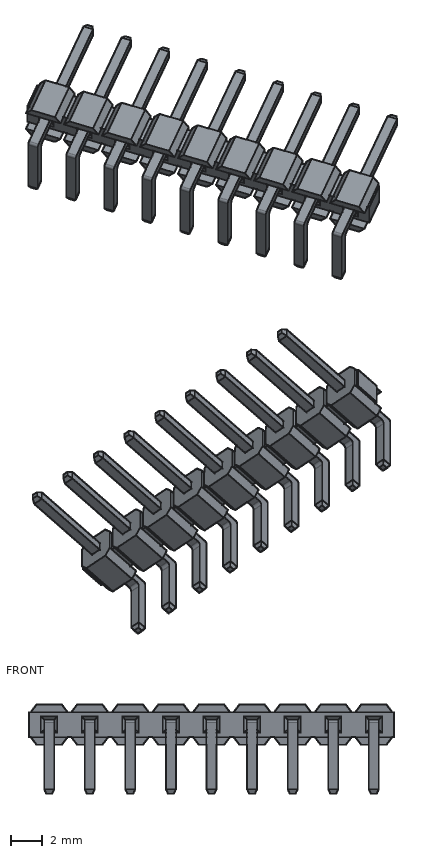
import cadquery as cq
import math

pin_count = 9
row_length = 22.85
pitch = row_length / pin_count

pin_size = 0.65

block_width = 2.3
block_length = 2.54
block_height = 2.54
bar_height = 1.58
bevel_run = 0.37
block_back = block_length / 2
block_front = -block_length / 2
back_step = 0.2
front_overhang = 0.55
bar_back = block_back - back_step
bar_front = block_front + front_overhang

recess_mouth = 1.03
recess_slope = 45.0
recess_depth = (recess_mouth - pin_size) / 2 / math.tan(math.radians(recess_slope))

tail_reach = 1.83
pin_front = block_front - tail_reach
pin_length = 10.17
pin_back = pin_front + pin_length
overall_height = 5.6
pin_bottom = block_height / 2 - overall_height
tip_length = 0.3
tip_inset = 0.14
outer_bend_radius = 0.15
inner_bend_radius = 0.2

first_pin_x = -(pin_count - 1) * pitch / 2
pin_places = [first_pin_x + index * pitch for index in range(pin_count)]


def box_between(x_range, y_range, z_range):
    """Box from its lower and upper limit along each axis."""
    size = [high - low for low, high in (x_range, y_range, z_range)]
    corner = (x_range[0], y_range[0], z_range[0])
    return cq.Workplane("XY").box(*size, centered=False).translate(corner)


def make_block(x):
    """Octagonal block whose middle is cut back in front to the face of the bar."""
    half_width = block_width / 2
    half_height = block_height / 2
    half_bar = bar_height / 2
    half_top = half_width - bevel_run
    outline = [
        (-half_width, -half_bar),
        (-half_top, -half_height),
        (half_top, -half_height),
        (half_width, -half_bar),
        (half_width, half_bar),
        (half_top, half_height),
        (-half_top, half_height),
        (-half_width, half_bar),
    ]
    block = cq.Workplane("XZ", origin=(0, block_back, 0)).polyline(outline).close().extrude(block_length)
    front_gap = box_between((-half_width, half_width), (block_front, bar_front), (-half_bar, half_bar))
    return block.cut(front_gap).translate((x, 0, 0))


def make_recess(x):
    """Square recess that narrows from the front face of the bar down to the pin."""
    mouth = cq.Workplane("XZ", origin=(x, bar_front, 0)).rect(recess_mouth, recess_mouth)
    return mouth.extrude(-recess_depth, taper=recess_slope)


def make_tip(base):
    """Tapered end of a pin that grows from a square base along the normal of its plane."""
    end_size = pin_size - 2 * tip_inset
    foot = cq.Workplane(base).rect(pin_size, pin_size)
    return foot.workplane(offset=tip_length).rect(end_size, end_size).loft()


def make_pin(x):
    """Square pin with a level shank, a bend and a tail, tapered at both ends."""
    half = pin_size / 2
    tail_back = pin_front + pin_size
    shank_end = pin_back - tip_length
    tail_end = pin_bottom + tip_length
    side_outline = [
        (pin_front, tail_end),
        (pin_front, half),
        (shank_end, half),
        (shank_end, -half),
        (tail_back, -half),
        (tail_back, tail_end),
    ]
    pin = cq.Workplane("YZ").polyline(side_outline).close().extrude(half, both=True)
    outer_bend = cq.selectors.NearestToPointSelector((0, pin_front, half))
    inner_bend = cq.selectors.NearestToPointSelector((0, tail_back, -half))
    pin = pin.edges(outer_bend).fillet(outer_bend_radius)
    pin = pin.edges(inner_bend).fillet(inner_bend_radius)
    shank_tip = make_tip(cq.Plane((0, shank_end, 0), xDir=(1, 0, 0), normal=(0, 1, 0)))
    tail_tip = make_tip(cq.Plane((0, pin_front + half, tail_end), xDir=(1, 0, 0), normal=(0, 0, -1)))
    return pin.union(shank_tip).union(tail_tip).translate((x, 0, 0))


half_row = row_length / 2
housing = box_between((-half_row, half_row), (bar_front, bar_back), (-bar_height / 2, bar_height / 2))
pins = []
for place in pin_places:
    pin = make_pin(place)
    housing = housing.union(make_block(place)).cut(make_recess(place)).cut(pin)
    pins.append(pin)

result = cq.Compound.makeCompound([housing.val(), *[pin.val() for pin in pins]])